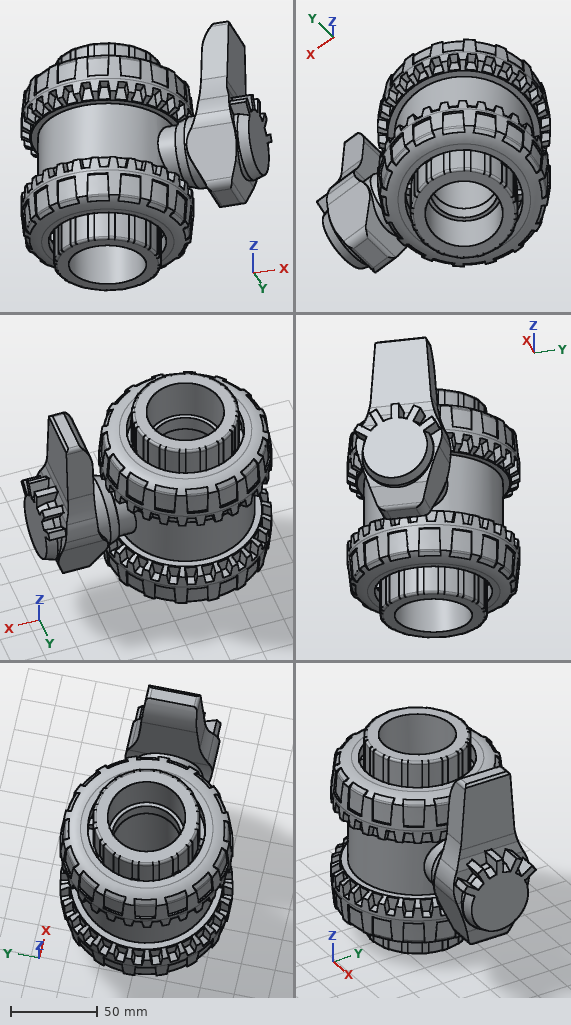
import cadquery as cq


bore_dia = 40.0
housing_dia = 80.5
housing_half_length = 28.4
neck_dia = 35.0

connector_end_z = 65.4
socket_dia = 44.9
socket_depth = 27.3
sleeve_dia = 61.7
sleeve_fillet = 1.4
sleeve_rib_count = 16
sleeve_rib_width = 3.7
sleeve_rib_radius = 31.1
sleeve_rib_root_radius = 28.3
flange_top_z = 39.8
gusset_count = 8
gusset_width = 4.4
gusset_top_z = 45.2
gusset_round = 2.3
gusset_root_radius = 25.6

nut_hole_dia = 68.0
nut_bottom_z = 19.2
nut_top_z = 50.0
nut_radius = 50.0
nut_rim_radius = 44.3
nut_rim_cone_z = 22.0
nut_step_z = 30.5
grip_top_z = 46.3
grip_top_radius = 48.5
nut_flat_radius = 38.4

pocket_count = 16
pocket_bottom_z = 32.7
pocket_bottom_radius = 48.6
pocket_bottom_width = 11.6
pocket_top_width = 12.8
pocket_wall_top_z = 45.3
pocket_wall_top_radius = 47.7
pocket_corner_radius = 1.7
pocket_slope_radius = 47.2
pocket_end_radius = 45.2
pocket_end_z = 48.5

notch_count = 29
notch_inner_radius = 44.9
notch_outer_radius = 51.1
notch_mouth_z = 18.5
notch_inner_roof_z = 27.4
notch_outer_roof_z = 28.7
notch_inner_roof_width = 4.1
notch_outer_roof_width = 5.0
notch_inner_mouth_width = 7.4
notch_outer_mouth_width = 8.4

collar_start_x = 47.3
collar_cone_end_x = 53.4
collar_start_radius = 19.2
hub_dia = 42.5
handle_top_z = 76.0
handle_bottom_z = -33.0
handle_half_width = 25.7
handle_back_x = 62.7
handle_front_x = 78.5
handle_shoulder_z = 1.8
grip_tip_half_width = 15.3
grip_base_half_width = 18.0
grip_base_z = 37.2
flare_half_width = 22.6
flare_z = 21.3
widest_z = 10.0
foot_half_width = 14.2
foot_z = -28.4

key_start_x = 76.7
key_cone_start_x = 85.8
key_end_x = 92.0
key_end_radius = 19.2
key_tooth_count = 5
key_tooth_pitch = 28.0
key_tooth_width = 4.4
key_tooth_height = 28.0


def cylinder(diameter, bottom_z, top_z):
    return cq.Workplane("XY").workplane(offset=bottom_z).circle(diameter / 2).extrude(top_z - bottom_z)


def ring_of(shape, count, start_angle=0.0):
    """Copies of a shape spaced evenly around Z, gathered in one workplane."""
    copies = cq.Workplane("XY")
    for i in range(count):
        copies = copies.add(shape.rotate((0, 0, 0), (0, 0, 1), start_angle + i * 360 / count).val())
    return copies.combine()


def make_housing():
    barrel = cylinder(housing_dia, -housing_half_length, housing_half_length)
    neck = cq.Workplane("YZ").circle(neck_dia / 2).extrude(collar_start_x)
    bore = cylinder(bore_dia, -housing_half_length, housing_half_length)
    return barrel.union(neck).cut(bore)


def make_connector():
    flange = cylinder(housing_dia, housing_half_length, flange_top_z)
    sleeve = cylinder(sleeve_dia, housing_half_length, connector_end_z)
    sleeve = sleeve.faces(">Z").edges().fillet(sleeve_fillet)

    rib_length = connector_end_z - flange_top_z
    rib = (
        cq.Workplane("XY", origin=(0, 0, flange_top_z))
        .center((sleeve_rib_root_radius + sleeve_rib_radius) / 2, 0)
        .rect(sleeve_rib_radius - sleeve_rib_root_radius, sleeve_rib_width)
        .extrude(rib_length)
        .faces(">Z").edges(">X").fillet(sleeve_fillet)
    )
    ribs = ring_of(rib, sleeve_rib_count)

    gusset_radius = nut_hole_dia / 2
    gusset_profile = (
        cq.Workplane("XZ")
        .moveTo(gusset_root_radius, housing_half_length)
        .lineTo(gusset_radius, housing_half_length)
        .lineTo(gusset_radius, gusset_top_z - gusset_round)
        .radiusArc((gusset_radius - gusset_round, gusset_top_z), -gusset_round)
        .lineTo(gusset_root_radius, gusset_top_z)
        .close()
    )
    gusset_ring = gusset_profile.revolve(360, (0, 0, 0), (0, 1, 0))
    spoke = (
        cq.Workplane("XY", origin=(0, 0, housing_half_length))
        .center(gusset_radius / 2, 0)
        .rect(housing_dia / 2, gusset_width)
        .extrude(gusset_top_z - housing_half_length)
    )
    gussets = gusset_ring.intersect(ring_of(spoke, gusset_count))

    bore = cylinder(bore_dia, housing_half_length, connector_end_z)
    socket = cylinder(socket_dia, connector_end_z - socket_depth, connector_end_z)
    return flange.union(sleeve).union(ribs).union(gussets).cut(bore).cut(socket)


def make_pockets():
    """Shallow grip pockets: tapered blocks outside a floor that follows the nut wall."""
    block = (
        cq.Workplane("YZ")
        .polyline([
            (-pocket_bottom_width / 2, pocket_bottom_z),
            (pocket_bottom_width / 2, pocket_bottom_z),
            (pocket_top_width / 2, nut_top_z),
            (-pocket_top_width / 2, nut_top_z),
        ])
        .close()
        .extrude(nut_radius)
    )
    floor = (
        cq.Workplane("XZ")
        .moveTo(0, pocket_bottom_z)
        .lineTo(pocket_bottom_radius, pocket_bottom_z)
        .lineTo(pocket_wall_top_radius, pocket_wall_top_z)
        .radiusArc((pocket_slope_radius, grip_top_z), -pocket_corner_radius)
        .lineTo(pocket_end_radius, pocket_end_z)
        .lineTo(pocket_end_radius, nut_top_z)
        .lineTo(0, nut_top_z)
        .close()
        .revolve(360, (0, 0, 0), (0, 1, 0))
    )
    return ring_of(block.cut(floor), pocket_count, 180 / pocket_count)


def notch_outline(workplane, mouth_width, roof_width, roof_z):
    return workplane.polyline([
        (-mouth_width / 2, notch_mouth_z),
        (mouth_width / 2, notch_mouth_z),
        (roof_width / 2, roof_z),
        (-roof_width / 2, roof_z),
    ]).close()


def make_notches():
    """Bevel gear notches that grow outwards; one tooth is centred on -X."""
    inner = notch_outline(
        cq.Workplane("YZ", origin=(notch_inner_radius, 0, 0)),
        notch_inner_mouth_width, notch_inner_roof_width, notch_inner_roof_z,
    )
    notch = notch_outline(
        inner.workplane(offset=notch_outer_radius - notch_inner_radius),
        notch_outer_mouth_width, notch_outer_roof_width, notch_outer_roof_z,
    ).loft(ruled=True)
    return ring_of(notch, notch_count, 180 + 180 / notch_count)


def make_nut():
    arc_run = grip_top_radius - nut_flat_radius
    arc_drop = nut_top_z - grip_top_z
    shoulder_radius = (arc_run ** 2 + arc_drop ** 2) / (2 * arc_drop)
    blank = (
        cq.Workplane("XZ")
        .moveTo(housing_dia / 2, nut_bottom_z)
        .lineTo(nut_rim_radius, nut_bottom_z)
        .lineTo(nut_radius, nut_rim_cone_z)
        .lineTo(nut_radius, nut_step_z)
        .lineTo(grip_top_radius, grip_top_z)
        .radiusArc((nut_flat_radius, nut_top_z), -shoulder_radius)
        .lineTo(nut_hole_dia / 2, nut_top_z)
        .lineTo(nut_hole_dia / 2, flange_top_z)
        .lineTo(housing_dia / 2, flange_top_z)
        .close()
        .revolve(360, (0, 0, 0), (0, 1, 0))
    )
    return blank.cut(make_pockets()).cut(make_notches())


def make_key():
    """Hub with radial teeth that fit the gear notches of the nuts."""
    hub = (
        cq.Workplane("XY")
        .polyline([
            (key_start_x, 0),
            (key_start_x, hub_dia / 2),
            (key_cone_start_x, hub_dia / 2),
            (key_end_x, key_end_radius),
            (key_end_x, 0),
        ])
        .close()
        .revolve(360, (0, 0, 0), (1, 0, 0))
    )
    tooth = (
        cq.Workplane("YZ", origin=(key_start_x, 0, 0))
        .center(0, key_tooth_height / 2)
        .rect(key_tooth_width, key_tooth_height)
        .extrude(key_end_x - key_start_x)
    )
    first_angle = -key_tooth_pitch * (key_tooth_count - 1) / 2
    for i in range(key_tooth_count):
        hub = hub.union(tooth.rotate((0, 0, 0), (1, 0, 0), first_angle + i * key_tooth_pitch))
    return hub


def make_handle_side():
    """Side outline of the lever in XZ, as thick as the lever is wide."""
    return (
        cq.Workplane("XZ", origin=(0, handle_half_width, 0))
        .moveTo(69.9, handle_top_z)
        .threePointArc((63.8, 65.5), (handle_back_x, 57.8))
        .lineTo(handle_back_x, 17.5)
        .threePointArc((61.5, 8.7), (58.5, handle_shoulder_z))
        .threePointArc((54.8, -8.5), (55.8, -13.8))
        .lineTo(64.1, -30.7)
        .threePointArc((65.0, -32.4), (66.6, handle_bottom_z))
        .lineTo(77.3, handle_bottom_z)
        .threePointArc((79.0, -32.4), (79.8, -30.7))
        .lineTo(83.5, -19.5)
        .threePointArc((85.0, -8.2), (84.0, 2.0))
        .lineTo(81.0, flare_z)
        .lineTo(79.1, 28.0)
        .lineTo(handle_front_x, 33.8)
        .lineTo(handle_front_x, 74.7)
        .lineTo(76.7, handle_top_z)
        .close()
        .extrude(2 * handle_half_width)
    )


def make_handle_face():
    """Lever outline in YZ: a slender grip that flares into the hub and narrows below it."""
    half = (
        cq.Workplane("YZ", origin=(collar_start_x, 0, 0))
        .moveTo(0, handle_top_z)
        .lineTo(13.0, handle_top_z)
        .threePointArc((14.6, 75.3), (grip_tip_half_width, 73.5))
        .lineTo(grip_base_half_width, grip_base_z)
        .threePointArc((19.7, 29.1), (flare_half_width, flare_z))
        .threePointArc((24.9, 15.8), (handle_half_width, widest_z))
        .threePointArc((25.3, 5.8), (24.3, handle_shoulder_z))
        .lineTo(foot_half_width, foot_z)
        .threePointArc((12.2, -31.7), (8.5, handle_bottom_z))
        .lineTo(0, handle_bottom_z)
        .close()
        .extrude(key_end_x - collar_start_x)
    )
    return half.union(half.mirror("XZ"))


def make_handle(key):
    lever = make_handle_side().intersect(make_handle_face())
    collar = (
        cq.Workplane("XY")
        .polyline([
            (collar_start_x, 0),
            (collar_start_x, collar_start_radius),
            (collar_cone_end_x, hub_dia / 2),
            (key_start_x, hub_dia / 2),
            (key_start_x, 0),
        ])
        .close()
        .revolve(360, (0, 0, 0), (1, 0, 0))
    )
    return lever.union(collar).cut(key)


housing = make_housing()
upper_connector = make_connector()
upper_nut = make_nut()
connectors = [upper_connector, upper_connector.mirror("XY")]
nuts = [upper_nut, upper_nut.mirror("XY")]
key = make_key()
handle = make_handle(key)

result = cq.Compound.makeCompound(
    [housing.val()]
    + [connector.val() for connector in connectors]
    + [nut.val() for nut in nuts]
    + [handle.val(), key.val()]
)